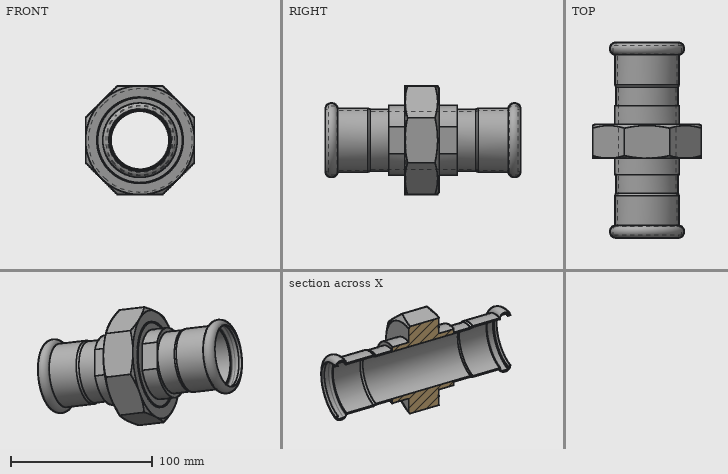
import cadquery as cq
import math

half_length = 69.2
bead_width = 9.0
socket_inner_end = 39.2
neck_start = 37.4
collar_half_length = 24.4
nut_front = -12.7
nut_back = 11.4

bead_diameter = 52.8
socket_diameter = 45.4
neck_diameter = 44.0
collar_diameter = 49.9
collar_across_flats = 46.0

bore_diameter = 41.0
socket_bore_diameter = 42.4
mouth_diameter = 44.0
seal_groove_diameter = 48.8
mouth_lip = 2.2
seal_groove_width = 6.0
seal_groove_round = 1.7
socket_entry_diameter = 43.0
socket_entry_length = 0.5

nut_across_flats = 77.0
nut_back_face_diameter = 73.4
nut_sides = 8
chamfer_angle = 30.0
gap_outer_diameter = 61.2
gap_inner_diameter = 60.0
gap_depth = 0.7


def cylinder(diameter, y_start, y_end):
    """Round bar along Y between two positions."""
    return cq.Workplane("XZ", origin=(0, y_end, 0)).circle(diameter / 2).extrude(y_end - y_start)


def revolve_about_y(profile):
    """Revolve a closed profile of (radius, y) sketched in the XY plane."""
    return profile.close().revolve(360, (0, 0, 0), (0, 1, 0))


def pipe_end():
    """Outside of the +Y press end: neck, tapered step, socket and rounded bead."""
    bead_radius = bead_width / 2
    bead_centre_radius = bead_diameter / 2 - bead_radius
    bead_centre_y = half_length - bead_radius
    bead_start_y = bead_centre_y - math.sqrt(bead_radius**2 - (socket_diameter / 2 - bead_centre_radius) ** 2)
    return revolve_about_y(
        cq.Workplane("XY")
        .lineTo(neck_diameter / 2, 0)
        .lineTo(neck_diameter / 2, neck_start)
        .lineTo(socket_diameter / 2, socket_inner_end)
        .lineTo(socket_diameter / 2, bead_start_y)
        .threePointArc((bead_diameter / 2, bead_centre_y), (bead_centre_radius, half_length))
        .lineTo(0, half_length)
    )


def bore_end():
    """Inside of the +Y press end: bore, socket, rounded seal groove and open mouth."""
    groove_outer_y = half_length - mouth_lip
    groove_inner_y = groove_outer_y - seal_groove_width
    groove_radius = seal_groove_diameter / 2
    round_centre_radius = groove_radius - seal_groove_round
    round_centre_y = groove_inner_y + seal_groove_round
    round_reach = seal_groove_round * math.sqrt(0.5)
    return revolve_about_y(
        cq.Workplane("XY")
        .lineTo(bore_diameter / 2, 0)
        .lineTo(bore_diameter / 2, neck_start)
        .lineTo(socket_bore_diameter / 2, socket_inner_end)
        .lineTo(socket_bore_diameter / 2, groove_inner_y - socket_entry_length)
        .lineTo(socket_entry_diameter / 2, groove_inner_y)
        .lineTo(round_centre_radius, groove_inner_y)
        .threePointArc(
            (round_centre_radius + round_reach, round_centre_y - round_reach),
            (groove_radius, round_centre_y),
        )
        .lineTo(groove_radius, groove_outer_y)
        .lineTo(mouth_diameter / 2, groove_outer_y)
        .lineTo(mouth_diameter / 2, half_length)
        .lineTo(0, half_length)
    )


def collar():
    """Round collar with a wrench flat on each X side."""
    flats = cq.Workplane("XY").box(collar_across_flats, 2 * collar_half_length, collar_diameter)
    return cylinder(collar_diameter, -collar_half_length, collar_half_length).intersect(flats)


def nut():
    """Octagonal nut with conically chamfered corners and a ring gap in its -Y face."""
    corner_radius = nut_across_flats / 2 / math.cos(math.pi / nut_sides)
    slope = math.tan(math.radians(chamfer_angle))
    front_radius = nut_across_flats / 2
    back_radius = nut_back_face_diameter / 2
    octagon = (
        cq.Workplane("XZ", origin=(0, nut_back, 0))
        .transformed(rotate=(0, 0, 180 / nut_sides))
        .polygon(nut_sides, 2 * corner_radius)
        .extrude(nut_back - nut_front)
    )
    envelope = revolve_about_y(
        cq.Workplane("XY")
        .moveTo(0, nut_front)
        .lineTo(front_radius, nut_front)
        .lineTo(corner_radius, nut_front + (corner_radius - front_radius) * slope)
        .lineTo(corner_radius, nut_back - (corner_radius - back_radius) * slope)
        .lineTo(back_radius, nut_back)
        .lineTo(0, nut_back)
    )
    gap = cylinder(gap_outer_diameter, nut_front, nut_front + gap_depth).cut(
        cylinder(gap_inner_diameter, nut_front, nut_front + gap_depth)
    )
    return octagon.intersect(envelope).cut(gap)


def both_ends(end):
    """Join a +Y end with its mirror image at -Y."""
    return end.union(end.mirror("XZ"))


result = both_ends(pipe_end()).union(collar()).union(nut()).cut(both_ends(bore_end()))